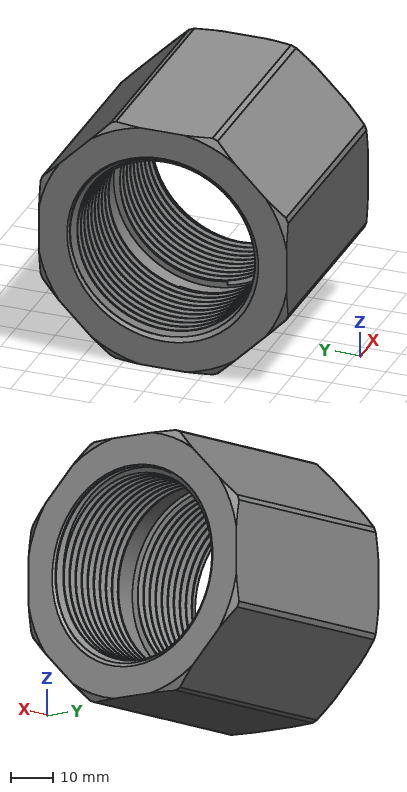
import cadquery as cq
import math

length = 54.3
across_flats = 62.8
corner_diameter = 67.4
sides = 8

end_face_diameter = 63.8
end_chamfer_angle = 30.0

bore_diameter = 44.84
mouth_diameter = 48.5
mouth_chamfer_angle = 45.0
thread_diameter = 47.8
thread_pitch = 2.309
thread_crest_width = 0.4
thread_root_width = 0.4
thread_length = 24.5
thread_lead_in = thread_pitch
thread_start_angle = 232.0
groove_overlap = 0.15

relief_diameter = 48.0
relief_overlap = 0.5
relief_length = length - 2 * (thread_length - relief_overlap)

envelope_clearance = 1.0


def tan_degrees(angle):
    return math.tan(math.radians(angle))


def bar_along_x(radius, bar_length):
    return cq.Workplane("YZ", origin=(-bar_length / 2, 0, 0)).circle(radius).extrude(bar_length)


def make_octagon_bar():
    """Octagon with flats square to Y and Z, its corners turned to a round."""
    across_corners = across_flats / math.cos(math.pi / sides)
    half_side_angle = 180.0 / sides
    octagon = cq.Workplane("YZ").polygon(sides, across_corners).extrude(length / 2, both=True)
    octagon = octagon.rotate((0, 0, 0), (1, 0, 0), half_side_angle)
    return octagon.intersect(bar_along_x(corner_diameter / 2, length))


def make_end_chamfer_envelope():
    """Solid of revolution whose conical ends trim the octagon corners."""
    half_length = length / 2
    face_radius = end_face_diameter / 2
    outer_radius = corner_diameter / 2 + envelope_clearance
    cone_depth = (outer_radius - face_radius) * tan_degrees(end_chamfer_angle)
    profile = (
        cq.Workplane("XY")
        .moveTo(-half_length, 0)
        .lineTo(-half_length, face_radius)
        .lineTo(-half_length + cone_depth, outer_radius)
        .lineTo(half_length - cone_depth, outer_radius)
        .lineTo(half_length, face_radius)
        .lineTo(half_length, 0)
        .close()
    )
    return profile.revolve(360, (0, 0, 0), (1, 0, 0))


def make_mouth_cone():
    """Countersink cone at the -X end of the bore."""
    mouth_radius = mouth_diameter / 2
    cone_depth = mouth_radius / tan_degrees(mouth_chamfer_angle)
    profile = (
        cq.Workplane("XY")
        .moveTo(-length / 2, 0)
        .lineTo(-length / 2, mouth_radius)
        .lineTo(-length / 2 + cone_depth, 0)
        .close()
    )
    return profile.revolve(360, (0, 0, 0), (1, 0, 0))


def make_thread_groove():
    """Left-hand helical V groove running inward from just outside the -X end."""
    bore_radius = bore_diameter / 2
    root_radius = thread_diameter / 2
    inner_radius = bore_radius - groove_overlap
    flank_width = (thread_pitch - thread_crest_width - thread_root_width) / 2
    half_root = thread_root_width / 2
    half_mouth = half_root + flank_width * (root_radius - inner_radius) / (root_radius - bore_radius)
    groove_profile = [
        (inner_radius, -half_mouth),
        (root_radius, -half_root),
        (root_radius, half_root),
        (inner_radius, half_mouth),
    ]
    helix_length = thread_length + thread_lead_in
    helix = cq.Wire.makeHelix(thread_pitch, helix_length, bore_radius, lefthand=True)
    groove = cq.Workplane("XZ").polyline(groove_profile).close().sweep(helix, isFrenet=True)
    groove = groove.rotate((0, 0, 0), (0, 0, 1), thread_start_angle)
    groove = groove.rotate((0, 0, 0), (0, 1, 0), 90)
    return groove.translate((-length / 2 - thread_lead_in, 0, 0))


def at_both_ends(solid):
    return [solid, solid.rotate((0, 0, 0), (0, 0, 1), 180)]


result = make_octagon_bar().intersect(make_end_chamfer_envelope())
result = result.cut(bar_along_x(bore_diameter / 2, length))
for groove in at_both_ends(make_thread_groove()):
    result = result.cut(groove)
result = result.cut(bar_along_x(relief_diameter / 2, relief_length))
for cone in at_both_ends(make_mouth_cone()):
    result = result.cut(cone)